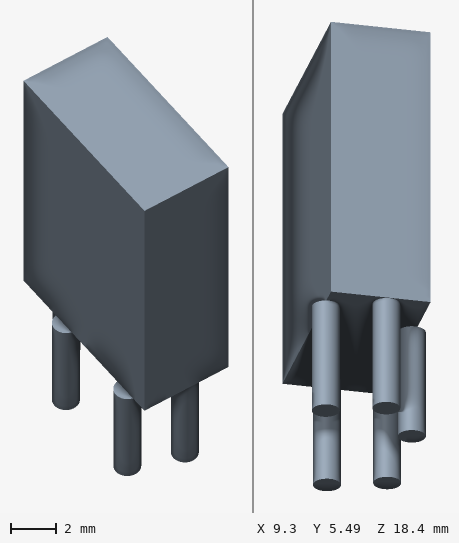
import cadquery as cq

total_height = 18.35
housing_width = 9.3
housing_depth = 4.5
pin_diameter = 1.23
pin_length = 5.1
housing_height = total_height - pin_length

outer_row_y = 2.13
inner_row_y = 0.4
wide_pin_x = 3.15
front_left_pin_x = -1.56
left_end_pin_x = -4.0
right_end_pin_x = 3.95

pin_centres = [
    (front_left_pin_x, -outer_row_y),
    (wide_pin_x, -outer_row_y),
    (-wide_pin_x, outer_row_y),
    (left_end_pin_x, -inner_row_y),
    (right_end_pin_x, inner_row_y),
]


def make_housing():
    """Plain rectangular block with its underside at Z = 0."""
    return cq.Workplane("XY").box(
        housing_width, housing_depth, housing_height, centered=(True, True, False)
    )


def make_pin(x, y):
    """Round pin hanging from the underside of the housing."""
    return cq.Workplane("XY").center(x, y).circle(pin_diameter / 2).extrude(-pin_length)


housing = make_housing()
pins = [make_pin(x, y) for x, y in pin_centres]

result = cq.Compound.makeCompound([housing.val(), *[pin.val() for pin in pins]])